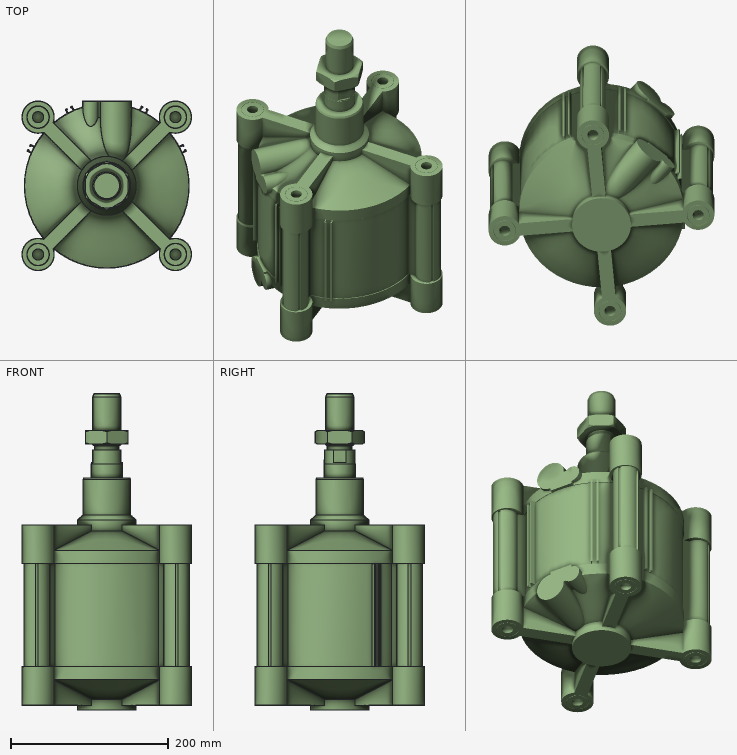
import cadquery as cq
import math

total_height = 403.0
hub_protrusion = 6.0
cap_height = 49.0
rim_height = 16.5
cone_height = 25.0
barrel_length = 131.5
rear_cap_top = hub_protrusion + cap_height
front_cap_bottom = rear_cap_top + barrel_length
front_cap_top = front_cap_bottom + cap_height

cap_diameter = 210.0
hub_diameter = 75.0
rib_width = 17.5
corner_offset = 87.5
overall_width = 216.0
boss_diameter = overall_width - 2 * corner_offset
screw_head_diameter = 28.0
screw_seat_diameter = 28.5
screw_gap_depth = 2.0
socket_diameter = 14.0
socket_depth = 16.0

port_face_y = overall_width / 2
main_port_diameter = 39.5
main_port_x = 11.5
main_port_height = 23.8
side_port_diameter = 23.0
side_port_x = -19.5
side_port_height = 15.0
port_web_top = 23.0

hub_top = front_cap_top + hub_protrusion
sleeve_diameter = 61.0
sleeve_bottom = 248.2
sleeve_top = 296.0
sleeve_chamfer = 1.2
sleeve_chamfer_height = 2.5

barrel_diameter = 208.0
column_offset = 89.0
column_diameter = 33.0
column_web_width = 21.0
column_slot_width = 3.5
column_slot_depth = 2.0
rail_angles = [26, 64, 116, 154]
rail_outer_radius = 110.5
rail_width = 9.5
rail_wall = 1.2
rail_opening = 5.0
rail_root_depth = 2.5

rod_diameter = 40.0
shank_diameter = 39.5
thread_diameter = 36.0
neck_diameter = 32.0
flat_width = 36.0
shank_bottom = 313.5
flat_bottom = 315.0
shank_top = 331.3
thread_bottom = 336.0
thread_chamfer = (thread_diameter - neck_diameter) / 2
tip_chamfer = 1.5
tip_chamfer_height = 4.0

nut_sides = 6
nut_width = 54.5
nut_bottom = 338.5
nut_height = 17.7
nut_face_diameter = 56.5
nut_chamfer_angle = 30

corner_signs = [(sx, sy) for sx in (-1, 1) for sy in (-1, 1)]


def cylinder(diameter, height, x=0, y=0, z=0):
    return cq.Workplane("XY", origin=(x, y, z)).circle(diameter / 2).extrude(height)


def corners(offset):
    return [(sx * offset, sy * offset) for sx, sy in corner_signs]


def diagonal_bars(width, reach, height):
    """Two crossed bars along the diagonals, joining opposite corners."""
    bar = cq.Workplane("XY").rect(2 * math.sqrt(2) * reach, width).extrude(height)
    return bar.rotate((0, 0, 0), (0, 0, 1), 45).union(bar.rotate((0, 0, 0), (0, 0, 1), -45))


def port(diameter, x, height):
    """Round port lug that runs along Y from the cap axis to the port face."""
    return cq.Workplane("XZ", origin=(x, 0, height)).circle(diameter / 2).extrude(-port_face_y)


def end_cap():
    """Cap with its barrel face at Z = 0, its outer rib faces at cap_height and the hub beyond."""
    rim_radius = cap_diameter / 2
    hub_radius = hub_diameter / 2
    cap = (
        cq.Workplane("XZ")
        .moveTo(0, 0)
        .lineTo(rim_radius, 0)
        .lineTo(rim_radius, rim_height)
        .lineTo(hub_radius, rim_height + cone_height)
        .lineTo(hub_radius, cap_height + hub_protrusion)
        .lineTo(0, cap_height + hub_protrusion)
        .close()
        .revolve(360, (0, 0, 0), (0, 1, 0))
    )
    cap = cap.union(diagonal_bars(rib_width, corner_offset, cap_height))
    for x, y in corners(corner_offset):
        cap = cap.union(cylinder(boss_diameter, cap_height, x, y))

    cap = cap.union(port(main_port_diameter, main_port_x, main_port_height))
    cap = cap.union(port(side_port_diameter, side_port_x, side_port_height))
    web_length = main_port_x - side_port_x
    web = cq.Workplane("XY").box(web_length, port_face_y, port_web_top, centered=False)
    cap = cap.union(web.translate((side_port_x, 0, 0)))

    for x, y in corners(corner_offset):
        gap = (
            cq.Workplane("XY", origin=(x, y, cap_height))
            .circle(screw_seat_diameter / 2)
            .circle(screw_head_diameter / 2)
            .extrude(-screw_gap_depth)
        )
        socket = cylinder(socket_diameter, -socket_depth, x, y, cap_height)
        cap = cap.cut(gap).cut(socket)
    return cap


def make_rear_cap():
    return end_cap().mirror("XY").translate((0, 0, rear_cap_top))


def make_front_cap():
    """End cap extended by the rod guide sleeve and bored through for the rod."""
    cap = end_cap().translate((0, 0, front_cap_bottom))
    sleeve_radius = sleeve_diameter / 2
    sleeve = (
        cq.Workplane("XZ")
        .moveTo(0, hub_top)
        .lineTo(hub_diameter / 2, hub_top)
        .lineTo(sleeve_radius, sleeve_bottom)
        .lineTo(sleeve_radius, sleeve_top - sleeve_chamfer_height)
        .lineTo(sleeve_radius - sleeve_chamfer, sleeve_top)
        .lineTo(0, sleeve_top)
        .close()
        .revolve(360, (0, 0, 0), (0, 1, 0))
    )
    rod_bore = cylinder(rod_diameter, total_height, z=front_cap_bottom)
    return cap.union(sleeve).cut(rod_bore)


def rail_block(inner_radius, outer_radius, width):
    """Full-length block lying along +X between two distances from the axis."""
    block = cq.Workplane("XY").box(
        outer_radius - inner_radius, width, barrel_length, centered=(False, True, False)
    )
    return block.translate((inner_radius, 0, 0))


def sensor_rail(angle):
    """Channel with inward lips, open away from the barrel at the given angle."""
    barrel_radius = barrel_diameter / 2
    rail = rail_block(barrel_radius - rail_root_depth, rail_outer_radius, rail_width)
    cavity = rail_block(barrel_radius, rail_outer_radius - rail_wall, rail_width - 2 * rail_wall)
    opening = rail_block(barrel_radius, rail_outer_radius, rail_opening)
    return rail.cut(cavity).cut(opening).rotate((0, 0, 0), (0, 0, 1), angle)


def make_barrel():
    barrel = cylinder(barrel_diameter, barrel_length)
    barrel = barrel.union(diagonal_bars(column_web_width, column_offset, barrel_length))

    slot_middle = column_offset + column_diameter / 2
    slot = cq.Workplane("XY").rect(2 * column_slot_depth, column_slot_width).extrude(barrel_length)
    turned_slot = slot.rotate((0, 0, 0), (0, 0, 1), 90)
    for sx, sy in corner_signs:
        x = sx * column_offset
        y = sy * column_offset
        barrel = barrel.union(cylinder(column_diameter, barrel_length, x, y))
        barrel = barrel.cut(slot.translate((sx * slot_middle, y, 0)))
        barrel = barrel.cut(turned_slot.translate((x, sy * slot_middle, 0)))

    for angle in rail_angles:
        barrel = barrel.union(sensor_rail(angle))
    return barrel.translate((0, 0, rear_cap_top))


def make_rod():
    """Rod from the barrel face to the tip, with wrench flats below the threaded end."""
    thread_radius = thread_diameter / 2
    neck_radius = neck_diameter / 2
    rod = (
        cq.Workplane("XZ")
        .moveTo(0, front_cap_bottom)
        .lineTo(rod_diameter / 2, front_cap_bottom)
        .lineTo(rod_diameter / 2, shank_bottom)
        .lineTo(shank_diameter / 2, shank_bottom)
        .lineTo(shank_diameter / 2, shank_top)
        .lineTo(neck_radius, shank_top)
        .lineTo(neck_radius, thread_bottom)
        .lineTo(thread_radius, thread_bottom + thread_chamfer)
        .lineTo(thread_radius, total_height - tip_chamfer_height)
        .lineTo(thread_radius - tip_chamfer, total_height)
        .lineTo(0, total_height)
        .close()
        .revolve(360, (0, 0, 0), (0, 1, 0))
    )
    flat_height = shank_top - flat_bottom
    envelope = cylinder(rod_diameter, flat_height, z=flat_bottom)
    between_flats = (
        cq.Workplane("XY", origin=(0, 0, flat_bottom))
        .rect(flat_width, rod_diameter)
        .extrude(flat_height)
    )
    return rod.cut(envelope.cut(between_flats))


def make_nut():
    """Hexagonal nut with two corners on the Y axis and both faces chamfered."""
    corner_diameter = nut_width / math.cos(math.pi / nut_sides)
    nut = cq.Workplane("XY").polygon(nut_sides, corner_diameter).extrude(nut_height)
    half_sector = 180 / nut_sides
    nut = nut.rotate((0, 0, 0), (0, 0, 1), half_sector)
    face_radius = nut_face_diameter / 2
    cone_radius = face_radius + nut_height / 2 / math.tan(math.radians(nut_chamfer_angle))
    double_cone = (
        cq.Workplane("XZ")
        .moveTo(0, 0)
        .lineTo(face_radius, 0)
        .lineTo(cone_radius, nut_height / 2)
        .lineTo(face_radius, nut_height)
        .lineTo(0, nut_height)
        .close()
        .revolve(360, (0, 0, 0), (0, 1, 0))
    )
    nut = nut.intersect(double_cone).cut(cylinder(thread_diameter, nut_height))
    return nut.translate((0, 0, nut_bottom))


rear_cap = make_rear_cap()
barrel = make_barrel()
front_cap = make_front_cap()
rod = make_rod()
nut = make_nut()

result = cq.Compound.makeCompound([
    rear_cap.val(),
    barrel.val(),
    front_cap.val(),
    rod.val(),
    nut.val(),
])